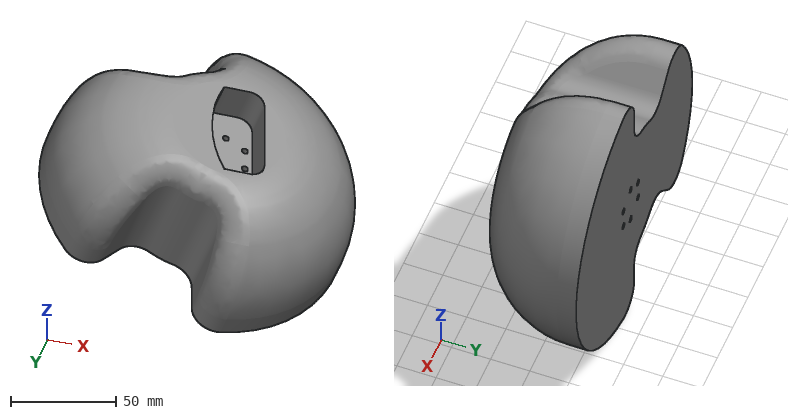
import cadquery as cq
import math

body_radius = 76.0
body_depth = 60.0
rim_depth = 10.0
crown_radius = 28.1

notch_floor_radius = 39.9
notch_start_angle = 90.0
notch_end_angle = 135.0
notch_corner_radius = 12.2
notch_edge_fillet = 12.0

pocket_half_height = 25.3
pocket_right = 17.6
pocket_left = -8.5
pocket_left_end_angle = 95.6
pocket_depth = 20.0
pocket_corner_radius = 7.5

hole_count = 6
hole_diameter = 3.0
hole_circle_radius = 11.0
hole_circle_x = 4.5
first_hole_angle = 30.0

back_y = body_depth / 2
crown_y = -body_depth / 2
rim_y = back_y - rim_depth


def polar(radius, angle):
    """Point in the XZ plane at an angle in degrees from +X."""
    return (radius * math.cos(math.radians(angle)), radius * math.sin(math.radians(angle)))


def make_body():
    profile = (
        cq.Workplane("XY")
        .moveTo(0, back_y)
        .lineTo(body_radius, back_y)
        .lineTo(body_radius, rim_y)
        .tangentArcPoint((crown_radius, crown_y), relative=False)
        .lineTo(0, crown_y)
        .close()
    )
    return profile.revolve(360, (0, 0, 0), (0, 1, 0))


def make_notch():
    """Upper notch cutter: a ring sector with its two floor corners rounded."""
    reach = 2 * body_radius
    middle_angle = (notch_start_angle + notch_end_angle) / 2
    sector = (
        cq.Workplane("XZ", origin=(0, back_y, 0))
        .moveTo(*polar(notch_floor_radius, notch_start_angle))
        .lineTo(*polar(reach, notch_start_angle))
        .lineTo(*polar(reach, notch_end_angle))
        .lineTo(*polar(notch_floor_radius, notch_end_angle))
        .threePointArc(
            polar(notch_floor_radius, middle_angle),
            polar(notch_floor_radius, notch_start_angle),
        )
        .close()
        .extrude(body_depth)
    )
    floor_corners = cq.selectors.BoxSelector(
        (-notch_floor_radius, -body_depth, 0),
        (notch_floor_radius, body_depth, 1.1 * notch_floor_radius),
    )
    return sector.edges("|Y").edges(floor_corners).fillet(notch_corner_radius)


def round_notch_edges(body):
    """Round the rim of both notches, where their walls meet the band and the dome."""
    band_middle_y = (back_y + rim_y) / 2
    seed_edges = []
    for angle in (notch_start_angle, notch_end_angle):
        x, z = polar(body_radius, angle)
        for side in (1, -1):
            on_edge = cq.selectors.NearestToPointSelector((x, band_middle_y, side * z))
            seed_edges.extend(body.edges(on_edge).vals())
    return body.newObject(seed_edges).fillet(notch_edge_fillet)


def make_pocket():
    """Pocket cutter; short arcs about the body axis join its left wall to the straight sides."""
    wall_end = polar(pocket_half_height, pocket_left_end_angle)
    arc_middle = polar(pocket_half_height, (90 + pocket_left_end_angle) / 2)
    pocket = (
        cq.Workplane("XZ", origin=(0, crown_y + pocket_depth, 0))
        .moveTo(0, -pocket_half_height)
        .lineTo(pocket_right, -pocket_half_height)
        .lineTo(pocket_right, pocket_half_height)
        .lineTo(0, pocket_half_height)
        .threePointArc(arc_middle, wall_end)
        .threePointArc((pocket_left, 0), (wall_end[0], -wall_end[1]))
        .threePointArc((arc_middle[0], -arc_middle[1]), (0, -pocket_half_height))
        .close()
        .extrude(pocket_depth)
    )
    return pocket.edges("|Y and >X").fillet(pocket_corner_radius)


def make_holes():
    return (
        cq.Workplane("XZ", origin=(hole_circle_x, back_y, 0))
        .polarArray(hole_circle_radius, first_hole_angle, 360, hole_count)
        .circle(hole_diameter / 2)
        .extrude(body_depth)
    )


notch = make_notch()
body = make_body().cut(notch).cut(notch.mirror("XY"))
body = round_notch_edges(body)
result = body.cut(make_pocket()).cut(make_holes())